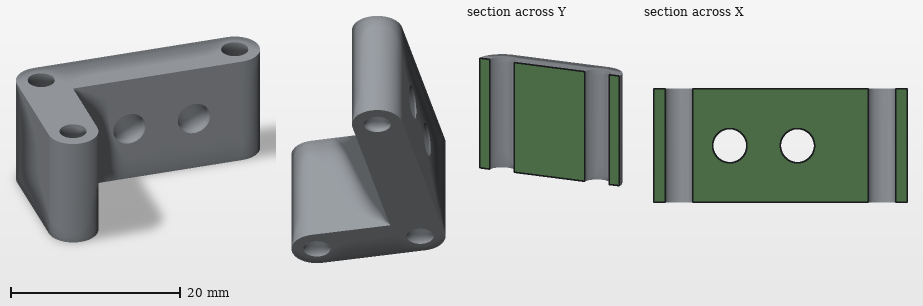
import cadquery as cq

overall_length = 30.0
overall_width = 18.5
height = 13.5
arm_width = 6.0
pin_hole_diameter = 3.2
cross_hole_diameter = 4.0
cross_hole_spacing = 8.0
first_cross_hole_y = 10.0

end_radius = arm_width / 2
long_arm_reach = overall_length - arm_width
short_arm_reach = overall_width - arm_width
pin_hole_centers = [(0, 0), (short_arm_reach, 0), (0, long_arm_reach)]


def l_body():
    """L-shaped block with round arm ends, a round outer and a sharp inner corner."""
    long_arm = (
        cq.Workplane("XY")
        .center(0, long_arm_reach / 2)
        .slot2D(overall_length, arm_width, 90)
        .extrude(height)
    )
    short_arm = (
        cq.Workplane("XY")
        .center(short_arm_reach / 2, 0)
        .slot2D(overall_width, arm_width)
        .extrude(height)
    )
    inner_corner = cq.Workplane("XY").rect(end_radius, end_radius, centered=False).extrude(height)
    return long_arm.union(short_arm).union(inner_corner).clean()


def pin_holes():
    """Vertical through holes at the corner and at both arm ends."""
    return cq.Workplane("XY").pushPoints(pin_hole_centers).circle(pin_hole_diameter / 2).extrude(height)


def cross_holes():
    """Two holes at mid height, through the long arm along X."""
    centers = [(first_cross_hole_y + i * cross_hole_spacing, height / 2) for i in range(2)]
    return (
        cq.Workplane("YZ", origin=(-end_radius, 0, 0))
        .pushPoints(centers)
        .circle(cross_hole_diameter / 2)
        .extrude(arm_width)
    )


result = l_body().cut(pin_holes()).cut(cross_holes())